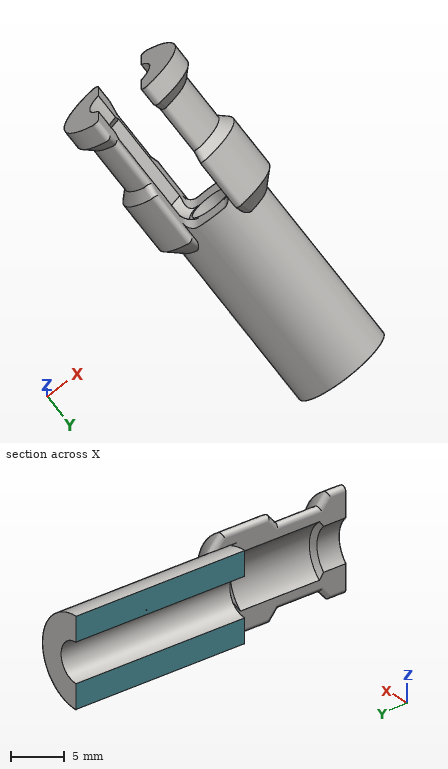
import cadquery as cq

full_length = 34.0
shank_radius = 5.0
collar_radius = 6.5
neck_radius = 5.5

lip_length = 2.0
neck_start = lip_length + collar_radius - neck_radius
collar_start = 9.0
neck_end = collar_start - (collar_radius - neck_radius)
collar_rear = 16.0
collar_end = collar_rear - (collar_radius - shank_radius)

slot_width = 5.0
slot_depth = 14.0
slot_corner_radius = 1.0
prong_edge_radius = 0.5

hole_radius = 2.2
lip_bore_radius = 3.5
lip_bore_length = 2.65
pocket_radius = 4.0
pocket_end_radius = 2.5
pocket_start = lip_bore_length + pocket_radius - lip_bore_radius
pocket_cone_start = slot_depth - (pocket_radius - pocket_end_radius)

half_slot = slot_width / 2
slab_reach = 2 * collar_radius
edge_tolerance = 0.01


def revolve_about_y(profile):
    """Turn a list of (radius, y) stations into a solid around the Y axis."""
    first_y = profile[0][1]
    last_y = profile[-1][1]
    outline = [(0, first_y)] + profile + [(0, last_y)]
    return cq.Workplane("XY").polyline(outline).close().revolve(360, (0, 0), (0, 1))


def prong_body():
    """Turned body of collar, neck and lip before it is split."""
    return revolve_about_y([
        (collar_radius, 0),
        (collar_radius, lip_length),
        (neck_radius, neck_start),
        (neck_radius, neck_end),
        (collar_radius, collar_start),
        (collar_radius, collar_end),
        (shank_radius, collar_rear),
    ])


def prongs():
    """Two half-moon prongs with the long edges beside the slot rounded."""
    slot_slab = cq.Workplane("XY").box(slot_width, 2 * collar_rear, 2 * slab_reach)
    split = prong_body().cut(slot_slab)
    side_planes = cq.selectors.BoxSelector(
        (-half_slot - edge_tolerance, edge_tolerance, -slab_reach),
        (half_slot + edge_tolerance, collar_rear - edge_tolerance, slab_reach),
    )
    long_edges = split.edges(side_planes)
    return split.newObject(long_edges.vals()).fillet(prong_edge_radius)


def shank():
    """Plain cylinder whose front face is the rounded bottom of the slot."""
    web_start = slot_depth - slot_corner_radius
    cylinder = revolve_about_y([(shank_radius, web_start), (shank_radius, full_length)])
    slot = (
        cq.Workplane("XY")
        .box(slot_width, slot_depth, 2 * slab_reach)
        .translate((0, slot_depth / 2, 0))
        .edges("|Z and >Y")
        .fillet(slot_corner_radius)
    )
    return cylinder.cut(slot)


def bore():
    """Stepped bore: lip opening, wider pocket between the prongs, narrow through hole."""
    return revolve_about_y([
        (lip_bore_radius, 0),
        (lip_bore_radius, lip_bore_length),
        (pocket_radius, pocket_start),
        (pocket_radius, pocket_cone_start),
        (pocket_end_radius, slot_depth),
        (hole_radius, slot_depth),
        (hole_radius, full_length),
    ])


result = prongs().union(shank()).cut(bore())